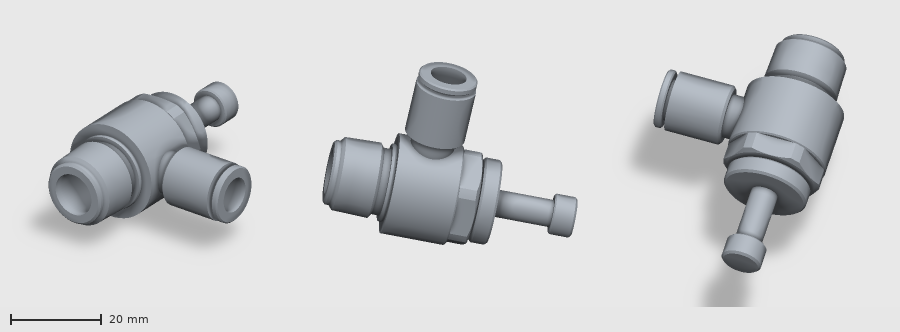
import cadquery as cq
import math


tip_radius = 7.25
tip_chamfer = 0.5
tip_length = 1.4
thread_start = 2.2
thread_end = 10.2
thread_radius = 8.45
thread_taper = 1 / 16
thread_tip_radius = thread_radius - (thread_end - thread_start) * thread_taper / 2
relief_radius = 7.45
relief_slope_length = 0.8
relief_start = thread_end + relief_slope_length
washer_start = 12.65
washer_radius = 8.8
washer_edge_drop = 0.15
washer_edge_length = 0.45

body_start = 13.7
body_end = 28.25
body_radius = 11.2
body_chamfer = 0.35

hex_across_flats = 20.15
hex_angle = math.radians(30)
hex_end = 32.7
hex_corner_radius = 11.05
hex_face_radius = 10.0
hex_chamfer_length = (hex_corner_radius - hex_face_radius) * math.tan(hex_angle)

neck_radius = 6.5
ring_start = 33.2
ring_end = 37.25
ring_radius = 9.5
ring_chamfer = 0.5
stem_radius = 3.05
head_start = 50.15
head_radius = 4.55
head_inner_chamfer = 0.35
head_outer_chamfer = 0.5
total_length = 55.25

branch_y = 21.05
branch_neck_radius = 4.9
sleeve_start = 13.25
sleeve_end = 25.95
sleeve_radius = 6.75
sleeve_chamfer = 0.55
release_neck_radius = 4.65
release_start = 26.9
total_width = 39.8
release_end = total_width - body_radius
release_radius = 6.6
release_chamfer = 0.35

inlet_radius = 4.9
outlet_radius = 4.05


def disc(radius, start, end, start_chamfer=0.0, end_chamfer=0.0):
    """Cylinder on the Y axis between two Y places, with optional edge chamfers."""
    cylinder = cq.Workplane("XZ", origin=(0, start, 0)).circle(radius).extrude(start - end)
    if start_chamfer:
        cylinder = cylinder.faces("<Y").chamfer(start_chamfer)
    if end_chamfer:
        cylinder = cylinder.faces(">Y").chamfer(end_chamfer)
    return cylinder


def turned(outline):
    """Solid turned about the Y axis from (radius, Y) outline points."""
    points = [(0, outline[0][1])] + outline + [(0, outline[-1][1])]
    return cq.Workplane("XY").polyline(points).close().revolve(360, (0, 0, 0), (0, 1, 0))


def threaded_end():
    washer_edge_radius = washer_radius - washer_edge_drop
    return turned([
        (tip_radius - tip_chamfer, 0),
        (tip_radius, tip_chamfer),
        (tip_radius, tip_length),
        (thread_tip_radius, thread_start),
        (thread_radius, thread_end),
        (relief_radius, relief_start),
        (relief_radius, washer_start),
        (washer_edge_radius, washer_start),
        (washer_radius, washer_start + washer_edge_length),
        (washer_radius, body_start - washer_edge_length),
        (washer_edge_radius, body_start),
    ])


def hexagon():
    across_corners = hex_across_flats / math.cos(hex_angle)
    prism = (
        cq.Workplane("XZ", origin=(0, body_end, 0))
        .polygon(6, across_corners)
        .extrude(body_end - hex_end)
    )
    corner_limit = turned([
        (hex_corner_radius, body_end),
        (hex_corner_radius, hex_end - hex_chamfer_length),
        (hex_face_radius, hex_end),
    ])
    return prism.intersect(corner_limit)


def stem():
    neck = disc(neck_radius, hex_end, ring_start)
    ring = disc(ring_radius, ring_start, ring_end, ring_chamfer, ring_chamfer)
    rod = disc(stem_radius, ring_end, head_start)
    head = disc(head_radius, head_start, total_length, head_inner_chamfer, head_outer_chamfer)
    return neck.union(ring).union(rod).union(head)


def along_branch(solid):
    """Lay a solid made on the Y axis onto the branch axis, so Y becomes X."""
    return solid.rotate((0, 0, 0), (0, 0, 1), -90).translate((0, branch_y, 0))


def branch():
    neck = disc(branch_neck_radius, 0, sleeve_start)
    sleeve = disc(sleeve_radius, sleeve_start, sleeve_end, start_chamfer=sleeve_chamfer)
    release_neck = disc(release_neck_radius, sleeve_end, release_start)
    release = disc(release_radius, release_start, release_end, release_chamfer, release_chamfer)
    return along_branch(neck.union(sleeve).union(release_neck).union(release))


def passages():
    """Inlet bore down to the branch axis, then the outlet bore with a round inner end."""
    inlet = disc(inlet_radius, 0, branch_y)
    outlet = along_branch(disc(outlet_radius, 0, release_end))
    round_end = cq.Workplane("XY", origin=(0, branch_y, 0)).sphere(outlet_radius)
    return inlet.union(outlet).union(round_end)


body = disc(body_radius, body_start, body_end, end_chamfer=body_chamfer)

result = threaded_end().union(body).union(hexagon()).union(stem()).union(branch()).cut(passages())